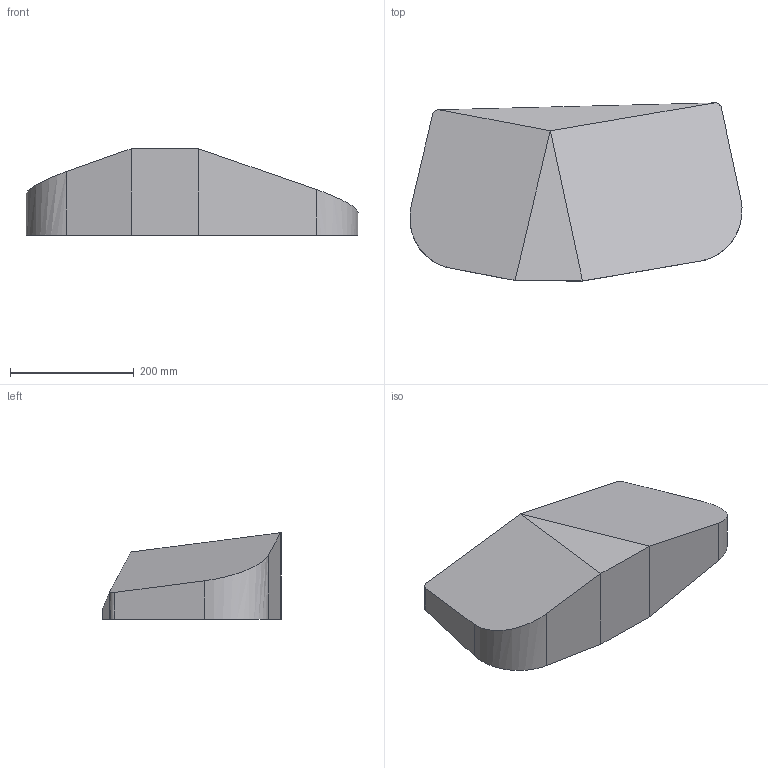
import cadquery as cq
import math

FRONT_HEIGHT = 140.0
PANEL_LENGTH = 250.5
CREASE_RISE = 7.18
FRONT_CORNER_RADIUS = 90.0
BACK_CORNER_RADIUS = 10.0

LEFT_WIDTH = 202.6
LEFT_SPLAY = 13.27
LEFT_ROLL = 19.31

RIGHT_WIDTH = 294.2
RIGHT_SPLAY = 12.14
RIGHT_ROLL = 19.01

DOWN = cq.Vector(0, 0, -FRONT_HEIGHT)
CLEARANCE = 2 * (LEFT_WIDTH + RIGHT_WIDTH)
APEX = cq.Vector(0, 0, FRONT_HEIGHT - PANEL_LENGTH * math.sin(math.radians(CREASE_RISE)))


def panel_directions(side, splay, roll):
    """Unit vectors along the crease (to the front) and across it (outwards).

    side is -1 for the left panel and +1 for the right panel.
    """
    splay = math.radians(splay)
    rise = math.radians(CREASE_RISE)
    roll = math.radians(roll)
    along = cq.Vector(
        side * math.sin(splay) * math.cos(rise),
        -math.cos(splay) * math.cos(rise),
        math.sin(rise),
    )
    level = cq.Vector(side * math.cos(splay), math.sin(splay), 0)
    upward = level.cross(along) * -side
    across = level * math.cos(roll) - upward * math.sin(roll)
    return along, across


def drop_to_base(wire):
    """Extend a flat outline straight down and keep what lies above the base."""
    column = cq.Solid.extrudeLinear(cq.Face.makeFromWires(wire), DOWN)
    below_base = cq.Workplane("XY").box(
        CLEARANCE, CLEARANCE, FRONT_HEIGHT, centered=(True, True, False)
    ).translate(DOWN)
    return cq.Workplane(obj=column).cut(below_base)


def sloping_panel(along, across, width):
    """Rectangular panel with its two outer corners rounded in its own plane."""

    def place(a, b):
        return APEX + along * a + across * b

    def corner_arc(start, a_centre, b_centre, a_sign, radius, end):
        half = radius * math.sqrt(0.5)
        middle = place(a_centre + a_sign * half, b_centre + half)
        return cq.Edge.makeThreePointArc(start, middle, end)

    front_a = PANEL_LENGTH - FRONT_CORNER_RADIUS
    front_b = width - FRONT_CORNER_RADIUS
    back_a = BACK_CORNER_RADIUS
    back_b = width - BACK_CORNER_RADIUS

    crease_front = place(PANEL_LENGTH, 0)
    front_end = place(PANEL_LENGTH, front_b)
    side_front = place(front_a, width)
    side_back = place(back_a, width)
    back_end = place(0, back_b)

    outline = cq.Wire.assembleEdges([
        cq.Edge.makeLine(APEX, crease_front),
        cq.Edge.makeLine(crease_front, front_end),
        corner_arc(front_end, front_a, front_b, 1, FRONT_CORNER_RADIUS, side_front),
        cq.Edge.makeLine(side_front, side_back),
        corner_arc(side_back, back_a, back_b, -1, BACK_CORNER_RADIUS, back_end),
        cq.Edge.makeLine(back_end, APEX),
    ])
    return drop_to_base(outline)


def triangular_panel(left_point, right_point):
    """Triangular panel from the apex to two other points."""
    return drop_to_base(cq.Wire.makePolygon([APEX, left_point, right_point], close=True))


left_along, left_across = panel_directions(-1, LEFT_SPLAY, LEFT_ROLL)
right_along, right_across = panel_directions(1, RIGHT_SPLAY, RIGHT_ROLL)

left_panel = sloping_panel(left_along, left_across, LEFT_WIDTH)
right_panel = sloping_panel(right_along, right_across, RIGHT_WIDTH)

front_panel = triangular_panel(
    APEX + left_along * PANEL_LENGTH,
    APEX + right_along * PANEL_LENGTH,
)

back_panel = triangular_panel(
    APEX + left_across * (LEFT_WIDTH - BACK_CORNER_RADIUS),
    APEX + right_across * (RIGHT_WIDTH - BACK_CORNER_RADIUS),
)

result = left_panel.union(front_panel).union(right_panel).union(back_panel)